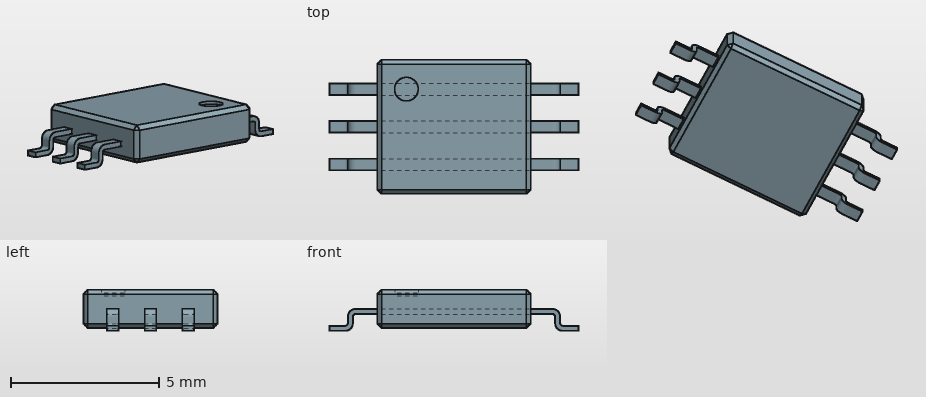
import cadquery as cq

body_length = 5.195
body_width = 4.54
body_top = 1.4
standoff = 0.1
body_height = body_top - standoff
body_chamfer = 0.15

lead_count = 3
lead_pitch = 1.27
lead_span = 8.42
lead_width = 0.395
lead_thickness = 0.18
lead_top = 0.75
foot_length = 0.62
inner_bend = 0.09
outer_bend = inner_bend + lead_thickness

marker_diameter = 0.8
marker_x = -1.61
marker_y = lead_pitch
marker_sink = 0.1
marker_thickness = 0.1


def make_lead(y):
    """One strip along X, centred at the given Y, with a gull-wing bend at each end."""
    tip = lead_span / 2
    outer_face = tip - foot_length
    inner_face = outer_face - lead_thickness
    shoulder_underside = lead_top - lead_thickness

    profile = (
        cq.Workplane("XZ", origin=(0, y + lead_width / 2, 0))
        .moveTo(0, lead_top)
        .lineTo(outer_face - outer_bend, lead_top)
        .radiusArc((outer_face, lead_top - outer_bend), outer_bend)
        .lineTo(outer_face, lead_thickness + inner_bend)
        .radiusArc((outer_face + inner_bend, lead_thickness), -inner_bend)
        .lineTo(tip, lead_thickness)
        .lineTo(tip, 0)
        .lineTo(inner_face + outer_bend, 0)
        .radiusArc((inner_face, outer_bend), outer_bend)
        .lineTo(inner_face, shoulder_underside - inner_bend)
        .radiusArc((inner_face - inner_bend, shoulder_underside), -inner_bend)
        .lineTo(0, shoulder_underside)
        .mirrorY()
    )
    return profile.extrude(lead_width)


def make_marker():
    """Disc at the bottom of the marker recess."""
    disc_bottom = body_top - marker_sink - marker_thickness
    return (
        cq.Workplane("XY", origin=(marker_x, marker_y, disc_bottom))
        .circle(marker_diameter / 2)
        .extrude(marker_thickness)
    )


def make_housing(leads):
    """Chamfered block with a channel for each lead and a recess for the marker."""
    housing = (
        cq.Workplane("XY", origin=(0, 0, standoff))
        .box(body_length, body_width, body_height, centered=(True, True, False))
        .edges()
        .chamfer(body_chamfer)
    )
    for lead in leads:
        housing = housing.cut(lead)

    recess = (
        cq.Workplane("XY", origin=(marker_x, marker_y, body_top))
        .circle(marker_diameter / 2)
        .extrude(-(marker_sink + marker_thickness))
    )
    return housing.cut(recess)


first_lead_y = -lead_pitch * (lead_count - 1) / 2
leads = [make_lead(first_lead_y + i * lead_pitch) for i in range(lead_count)]
marker = make_marker()
housing = make_housing(leads)

result = cq.Compound.makeCompound([housing.val(), marker.val(), *[lead.val() for lead in leads]])